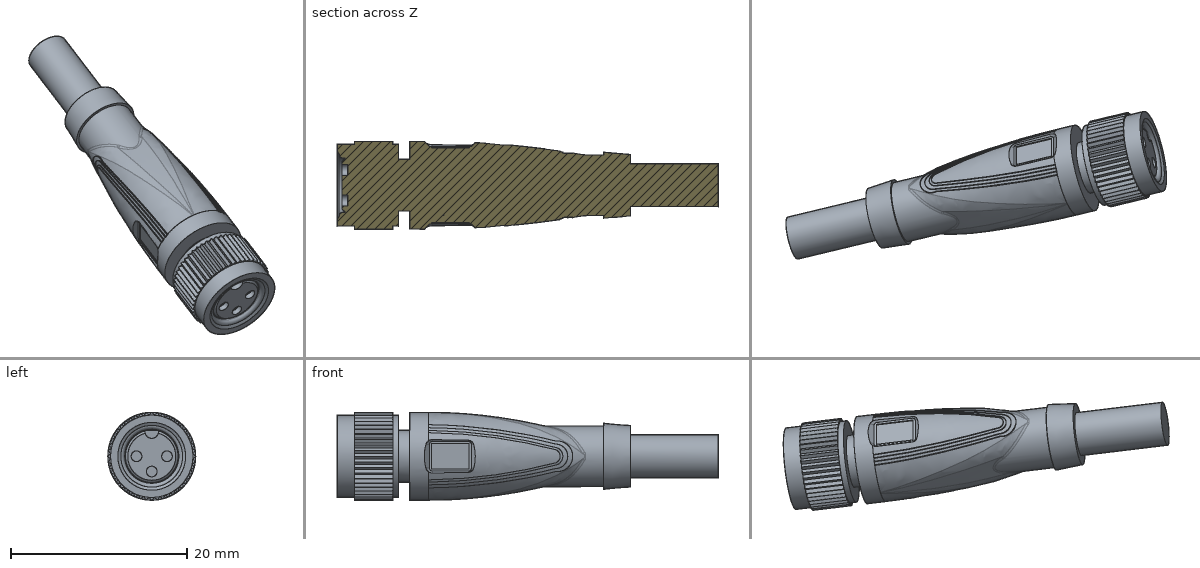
import cadquery as cq
import math

knurl_start = 1.95
knurl_end = 6.3
nut_end = 6.95
grip_start = 8.2
taper_start = 10.32
taper_end = 28.1
collar_start = 30.2
collar_end = 33.25
total_length = 43.2

knurl_radius = 10.0 / 2
nut_radius = 4.65
neck_radius = 5.9 / 2
grip_radius = knurl_radius
tube_radius = 3.45
collar_front_radius = 3.75
collar_rear_radius = 3.5
cable_radius = 2.45

tooth_count = 48

bore_mouth_radius = 3.85
bore_chamfer_radius = 3.5
bore_chamfer_depth = 0.2
lip_round = 0.45
gap_depth = 0.85
insert_radius = 3.0
insert_face = 0.5
insert_chamfer = 0.25
contact_radius = 0.6
contact_offset = 1.73
contact_depth = 0.65
key_radius = 0.78
key_center_z = 2.8
key_top_z = 2.95
key_depth = 1.73

side_drop = grip_radius - tube_radius
top_drop = 2.8
top_spread = 2.6
top_spread_loss = 0.78
slope_angle_steady = 54.0
slope_angle_late = 34.0
slope_bulge = 0.3
first_fraction = 0.02
taper_steps = 7
crease_fillet = 0.85
crease_tolerance = 0.005

groove_shallow = 0.1
groove_deep = 0.17
panel_rear = 24.8
panel_droop = 0.27
shallow_outer = (3.6, 1.73, 26.7)
deep_outer = (3.25, 1.4, 26.15)
deep_inner = (2.95, 1.0, 25.57)
shallow_inner = (2.7, 0.75, 25.27)

badge_start = 10.45
badge_end = 15.2
badge_height = 3.35
badge_floor = 4.4
badge_corner = 0.35
badge_wall = 0.78
badge_wall_taper = 45.0
badge_border = 0.25
badge_step = 0.15


def cylinder(start, end, radius):
    """Round bar along X between two stations."""
    return cq.Workplane("YZ", origin=(start, 0, 0)).circle(radius).extrude(end - start)


def both_sides(solid):
    """The solid together with its mirror image across the XZ plane."""
    return solid.union(solid.mirror("XZ"))


def make_shaft():
    """Nut collars, neck, front of the grip, strain relief and cable."""
    tube_start = (taper_start + taper_end) / 2
    collar = (
        cq.Workplane("XY")
        .moveTo(collar_start, 0)
        .lineTo(collar_start, collar_front_radius)
        .lineTo(collar_end, collar_rear_radius)
        .lineTo(collar_end, 0)
        .close()
        .revolve(360, (0, 0, 0), (1, 0, 0))
    )
    return (
        cylinder(0, nut_end, nut_radius)
        .union(cylinder(nut_end, grip_start, neck_radius))
        .union(cylinder(grip_start, taper_start, grip_radius))
        .union(cylinder(tube_start, collar_start, tube_radius))
        .union(collar)
        .union(cylinder(collar_end, total_length, cable_radius))
    )


def make_knurl():
    """Band of V-shaped teeth standing on the nut."""
    points = []
    for i in range(2 * tooth_count):
        radius = nut_radius if i % 2 else knurl_radius
        angle = math.pi * i / tooth_count
        points.append((radius * math.cos(angle), radius * math.sin(angle)))
    band = cq.Workplane("YZ", origin=(knurl_start, 0, 0)).polyline(points).close()
    return band.extrude(knurl_end - knurl_start)


def taper_section(fraction, inset):
    """Cross-section of the tapered grip: round sides, flat top and bottom, bulged slopes between."""
    x = taper_start + (taper_end - taper_start) * fraction
    t = max(fraction, first_fraction)
    radius = grip_radius - side_drop * t**2 - inset
    top = grip_radius - top_drop * t**2 - inset
    inner = top_spread * t - top_spread_loss * t**2
    slope_angle = math.radians(slope_angle_steady * t + slope_angle_late * t**5)
    outer = radius * math.sin(slope_angle)
    shoulder = radius * math.cos(slope_angle)
    bulge = slope_bulge * t**3
    slope_length = math.hypot(outer - inner, top - shoulder)
    bulge_y = (inner + outer) / 2 + bulge * (top - shoulder) / slope_length
    bulge_z = (top + shoulder) / 2 + bulge * (outer - inner) / slope_length
    return (
        cq.Workplane("YZ", origin=(x, 0, 0))
        .moveTo(-inner, top)
        .lineTo(inner, top)
        .threePointArc((bulge_y, bulge_z), (outer, shoulder))
        .threePointArc((radius, 0), (outer, -shoulder))
        .threePointArc((bulge_y, -bulge_z), (inner, -top))
        .lineTo(-inner, -top)
        .threePointArc((-bulge_y, -bulge_z), (-outer, -shoulder))
        .threePointArc((-radius, 0), (-outer, shoulder))
        .threePointArc((-bulge_y, bulge_z), (-inner, top))
        .close()
        .val()
    )


def make_taper(inset=0.0):
    """Tapered grip, optionally shrunk by an inset."""
    sections = [taper_section(i / taper_steps, inset) for i in range(taper_steps + 1)]
    return cq.Workplane(cq.Solid.makeLoft(sections))


def make_body():
    """Shaft and tapered grip, with a fillet in the crease where the grip runs out on the tube."""
    body = make_shaft().union(make_taper())
    crease = []
    for edge in body.edges().vals():
        middle = edge.positionAt(0.5)
        on_tube = abs(math.hypot(middle.y, middle.z) - tube_radius) < crease_tolerance
        if on_tube and middle.x < collar_start - crease_tolerance:
            crease.append(edge)
    return cq.Workplane(body.val().fillet(crease_fillet, crease))


def panel(front_height, rear_height, tip_x):
    """Tongue-shaped side panel with a rounded tip, reaching from the mid-plane past the -Y side."""
    mid_x = (taper_start + panel_rear) / 2
    mid_height = front_height + panel_droop * (rear_height - front_height)
    return (
        cq.Workplane("XZ")
        .moveTo(taper_start, -front_height)
        .threePointArc((mid_x, -mid_height), (panel_rear, -rear_height))
        .threePointArc((tip_x, 0), (panel_rear, rear_height))
        .threePointArc((mid_x, mid_height), (taper_start, front_height))
        .close()
        .extrude(2 * grip_radius)
    )


def make_grooves():
    """Stepped groove around each side panel: a wide shallow channel with a deeper one inside it."""
    wide = panel(*shallow_outer).cut(panel(*shallow_inner))
    narrow = panel(*deep_outer).cut(panel(*deep_inner))
    shallow = wide.cut(make_taper(groove_shallow))
    deep = narrow.cut(make_taper(groove_deep))
    return both_sides(shallow.union(deep))


def make_badges():
    """Rounded rectangular recess with sloping walls and a sunken middle on each side of the grip."""
    length = badge_end - badge_start
    floor = cq.Workplane("XZ", origin=(badge_start + length / 2, -badge_floor, 0))
    outline = cq.Sketch().rect(length, badge_height).vertices().fillet(badge_corner)
    recess = floor.placeSketch(outline).extrude(badge_wall, taper=-badge_wall_taper)
    middle = floor.rect(length - 2 * badge_border, badge_height - 2 * badge_border).extrude(-badge_step)
    return both_sides(recess.union(middle))


def make_socket():
    """Chamfered mouth and rounded lip around the contact insert, with contact holes and a keyway."""
    lip_end = bore_chamfer_depth + lip_round
    lip_radius = bore_chamfer_radius - lip_round
    arc_inset = lip_round * (1 - math.sqrt(0.5))
    socket = (
        cq.Workplane("XY")
        .lineTo(0, bore_mouth_radius)
        .lineTo(bore_chamfer_depth, bore_chamfer_radius)
        .threePointArc(
            (bore_chamfer_depth + arc_inset, lip_radius + arc_inset),
            (lip_end, lip_radius),
        )
        .lineTo(gap_depth, lip_radius)
        .lineTo(gap_depth, insert_radius)
        .lineTo(insert_face + insert_chamfer, insert_radius)
        .lineTo(insert_face, insert_radius - insert_chamfer)
        .lineTo(insert_face, 0)
        .close()
        .revolve(360, (0, 0, 0), (1, 0, 0))
    )
    face = cq.Workplane("YZ", origin=(insert_face, 0, 0))
    contacts = (
        face.pushPoints([(-contact_offset, 0), (contact_offset, 0), (0, -contact_offset)])
        .circle(contact_radius)
        .extrude(contact_depth)
    )
    key_width = 2 * key_radius
    key_limit = face.center(0, key_top_z - key_radius).rect(key_width, key_width).extrude(key_depth)
    keyway = face.center(0, key_center_z).circle(key_radius).extrude(key_depth).intersect(key_limit)
    return socket.union(contacts).union(keyway)


result = (
    make_body()
    .union(make_knurl())
    .cut(make_grooves())
    .cut(make_badges())
    .cut(make_socket())
)